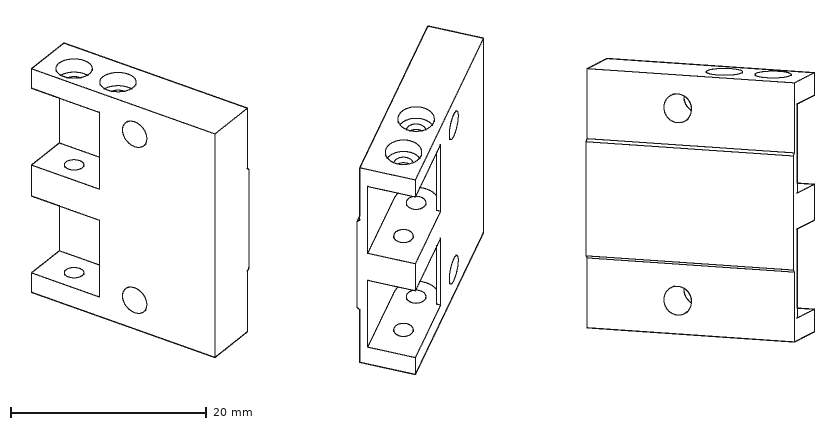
import cadquery as cq

length = 22.6
height = 27.0
body_depth = 6.0
total_depth = 6.3
mid_height = height / 2

band_height = 11.88
band_edge_run = 0.27

pocket_height = 9.25
pocket_spacing = 13.01
pocket_opening_length = 8.37
pocket_depth = 5.13

screw_diameter = 2.0
counterbore_diameter = 3.73
counterbore_depth = 1.6
outer_screw = (3.62, 2.45)
inner_screw = (8.8, 2.78)
pocket_end_radius = pocket_depth - inner_screw[1]

mount_diameter = 3.0
mount_x = 12.72
mount_spacing = 20.03


def make_body():
    """Block and its back band, extruded along X from one end outline."""
    band_half_top = band_height / 2
    band_half_base = band_half_top + band_edge_run
    outline = [
        (0, 0),
        (body_depth, 0),
        (body_depth, mid_height - band_half_base),
        (total_depth, mid_height - band_half_top),
        (total_depth, mid_height + band_half_top),
        (body_depth, mid_height + band_half_base),
        (body_depth, height),
        (0, height),
    ]
    return cq.Workplane("YZ").polyline(outline).close().extrude(length)


def make_pocket(center_z):
    """Open rectangular pocket with a round end reaching behind the front wall."""
    floor = cq.Workplane("XY", origin=(0, 0, center_z - pocket_height / 2))
    opening = floor.rect(pocket_opening_length, pocket_depth, centered=False).extrude(pocket_height)
    back_run = (
        floor.moveTo(0, inner_screw[1])
        .lineTo(inner_screw[0], inner_screw[1])
        .lineTo(inner_screw[0], pocket_depth)
        .lineTo(0, pocket_depth)
        .close()
        .extrude(pocket_height)
    )
    round_end = floor.center(*inner_screw).circle(pocket_end_radius).extrude(pocket_height)
    return opening.union(back_run).union(round_end)


def make_screw_hole(position):
    """Through hole along Z with a counterbore in the top face."""
    shaft = cq.Workplane("XY").center(*position).circle(screw_diameter / 2).extrude(height)
    seat = (
        cq.Workplane("XY", origin=(0, 0, height))
        .center(*position)
        .circle(counterbore_diameter / 2)
        .extrude(-counterbore_depth)
    )
    return shaft.union(seat)


def make_mounting_hole(center_z):
    """Through hole along Y."""
    front = cq.Workplane("XZ", origin=(mount_x, 0, center_z))
    return front.circle(mount_diameter / 2).extrude(-total_depth)


result = make_body()
for side in (-1, 1):
    result = result.cut(make_pocket(mid_height + side * pocket_spacing / 2))
    result = result.cut(make_mounting_hole(mid_height + side * mount_spacing / 2))
for screw in (outer_screw, inner_screw):
    result = result.cut(make_screw_hole(screw))